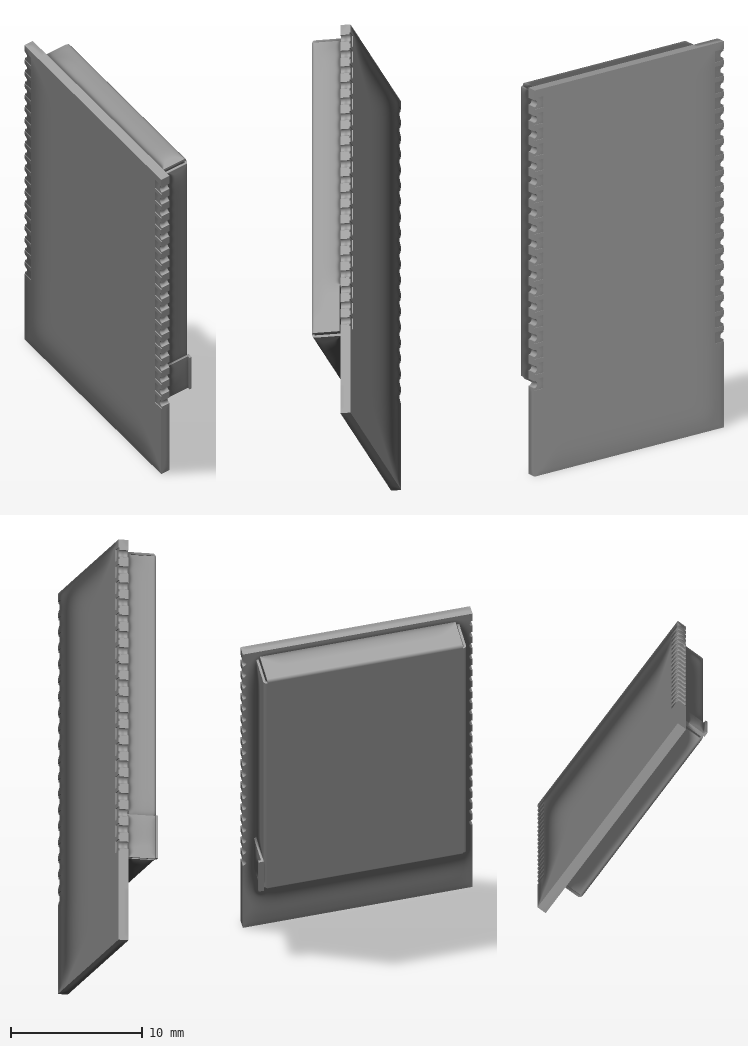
import cadquery as cq

board_width = 18.0
board_length = 31.4
total_height = 3.3
board_thickness = 0.8

antenna_length = 5.9
antenna_depth = 0.03

pads_per_side = 19
pad_row_length = 22.85
pad_pitch = pad_row_length / (pads_per_side - 1)
first_pad_drop = 1.1
pad_width = 0.9
pad_reach = 0.85
pad_depth = 0.05
notch_radius = 0.28

ground_pad_size = 4.1
ground_pad_x = -1.4
ground_pad_z = 15.17
ground_pad_depth = 0.05

can_width = 15.9
can_length = 24.05
can_top_margin = 0.6
sheet = 0.2
bend_radius = 0.25
corner_relief = 0.28
slot_height = 0.28
left_slot_length = 4.0
right_slot_length = 3.67

clip_thickness = 0.2
clip_lip_reach = 0.4
clip_lip_thickness = 0.2
clip_length = 3.35

can_end_z = board_length - can_top_margin
can_start_z = can_end_z - can_length
can_half = can_width / 2


def block(x_range, y_range, z_range):
    """Box between the given limits along X, Y and Z."""
    (x0, x1), (y0, y1), (z0, z1) = x_range, y_range, z_range
    return cq.Workplane("XY").box(x1 - x0, y1 - y0, z1 - z0, centered=False).translate((x0, y0, z0))


def make_ground_pad():
    half = ground_pad_size / 2
    return block(
        (ground_pad_x - half, ground_pad_x + half),
        (0, ground_pad_depth),
        (ground_pad_z - half, ground_pad_z + half),
    )


def make_antenna():
    half = board_width / 2
    return block((-half, half), (0, antenna_depth), (0, antenna_length))


def make_edge_pad_cut(edge, z):
    """Shallow pad recess on the underside with a half-round notch through the board edge."""
    recess = cq.Workplane("XY").box(2 * pad_reach, 2 * pad_depth, pad_width).translate((edge, 0, z))
    notch = cq.Workplane("XZ", origin=(edge, 0, z)).circle(notch_radius).extrude(-board_thickness)
    return recess.union(notch)


def make_board():
    half = board_width / 2
    board = block((-half, half), (0, board_thickness), (0, board_length))
    for i in range(pads_per_side):
        z = board_length - first_pad_drop - i * pad_pitch
        for edge in (-half, half):
            board = board.cut(make_edge_pad_cut(edge, z))
    return board.cut(make_ground_pad()).cut(make_antenna())


def make_can():
    can = block((-can_half, can_half), (board_thickness, total_height), (can_start_z, can_end_z))
    can = can.faces(">Y").edges().fillet(bend_radius)
    cavity = block(
        (-can_half + sheet, can_half - sheet),
        (board_thickness, total_height - sheet),
        (can_start_z + sheet, can_end_z - sheet),
    )
    can = can.cut(cavity)
    for x in (-can_half, can_half):
        for z in (can_start_z, can_end_z):
            relief = cq.Workplane("XY").box(2 * corner_relief, 2 * total_height, 2 * corner_relief)
            can = can.cut(relief.translate((x, total_height, z)))
    for x, length in ((-can_half, left_slot_length), (can_half, right_slot_length)):
        slot = cq.Workplane("XY").box(2 * sheet, 2 * slot_height, 2 * length)
        can = can.cut(slot.translate((x, board_thickness, can_start_z)))
    return can


def make_clip():
    z_range = (can_start_z, can_start_z + clip_length)
    plate = block((can_half, can_half + clip_thickness), (board_thickness, total_height), z_range)
    lip = block(
        (can_half, can_half + clip_lip_reach),
        (total_height - clip_lip_thickness, total_height),
        z_range,
    )
    return plate.union(lip)


board = make_board()
antenna = make_antenna()
ground_pad = make_ground_pad()
can = make_can()
clip = make_clip()

result = cq.Compound.makeCompound([board.val(), antenna.val(), ground_pad.val(), can.val(), clip.val()])